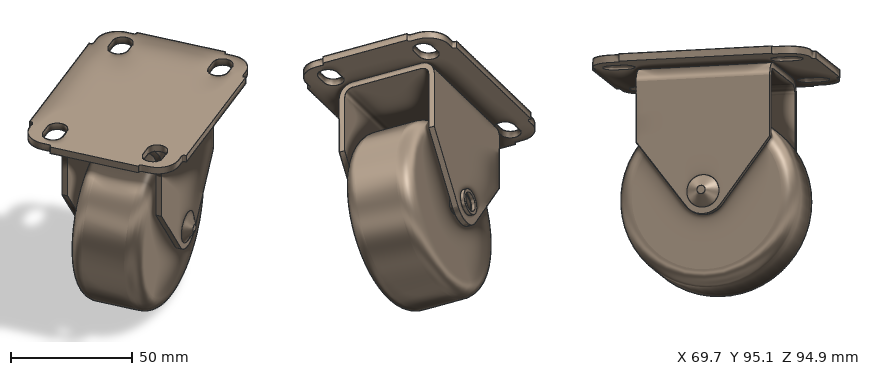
import cadquery as cq
import math


wheel_radius = 38.0
wheel_width = 31.7
wheel_edge_radius = 6.3

plate_length = 95.1
plate_width = 69.7
plate_thickness = 3.1
plate_top = 56.9
plate_bottom = plate_top - plate_thickness
corner_inset_x = 1.6
corner_inset_y = 1.4
corner_radius = 9.5
step_radius = 0.95
end_edge_half = 19.7
side_edge_half = 32.5
slot_length = 13.3
slot_width = 8.7
slot_spacing_x = 44.5
slot_spacing_y = 71.5

fork_width = 44.4
fork_depth = 56.9
fork_sheet = 2.6
fork_bend_radius = 6.3
fork_tip_radius = 9.5
fork_straight_height = 31.9
fork_half_width = fork_width / 2

axle_diameter = 6.75
head_base_diameter = 13.7
head_tip_diameter = 3.5
head_height = 3.0
collar_outer_diameter = 11.1
collar_inner_diameter = 8.2
collar_thickness = 1.7


def x_cylinder(diameter, start, length):
    """Cylinder on the axle line, from X = start toward +X."""
    return cq.Workplane("YZ", origin=(start, 0, 0)).circle(diameter / 2).extrude(length)


def corner_notch(sign_x, sign_y):
    """Material removed around one plate corner to leave an inset, rounded corner."""
    inset_x = plate_width / 2 - corner_inset_x
    inset_y = plate_length / 2 - corner_inset_y
    bend = corner_radius * (1 - math.sqrt(0.5))
    step_bend = step_radius * (1 - math.sqrt(0.5))

    def at(x, y):
        return (sign_x * x, sign_y * y)

    return (
        cq.Workplane("XY", origin=(0, 0, plate_bottom))
        .moveTo(*at(end_edge_half, plate_length / 2))
        .lineTo(*at(end_edge_half, inset_y + step_radius))
        .threePointArc(
            at(end_edge_half + step_bend, inset_y + step_bend),
            at(end_edge_half + step_radius, inset_y),
        )
        .lineTo(*at(inset_x - corner_radius, inset_y))
        .threePointArc(at(inset_x - bend, inset_y - bend), at(inset_x, inset_y - corner_radius))
        .lineTo(*at(inset_x, side_edge_half + step_radius))
        .threePointArc(
            at(inset_x + step_bend, side_edge_half + step_bend),
            at(inset_x + step_radius, side_edge_half),
        )
        .lineTo(*at(plate_width / 2, side_edge_half))
        .lineTo(*at(plate_width / 2, plate_length / 2))
        .close()
        .extrude(plate_thickness)
    )


def make_plate():
    """Mounting plate with four inset corners and four slotted holes."""
    plate = (
        cq.Workplane("XY", origin=(0, 0, plate_bottom))
        .rect(plate_width, plate_length)
        .extrude(plate_thickness)
    )
    for sign_x in (-1, 1):
        for sign_y in (-1, 1):
            plate = plate.cut(corner_notch(sign_x, sign_y))
    slots = (
        cq.Workplane("XY", origin=(0, 0, plate_bottom))
        .rarray(slot_spacing_x, slot_spacing_y, 2, 2)
        .slot2D(slot_length, slot_width, 90)
        .extrude(plate_thickness)
    )
    return plate.cut(slots)


def bent_profile(width, top, bend_radius):
    """Block from the fork tip up to top, with its upper X edges rounded."""
    height = top + fork_tip_radius
    return (
        cq.Workplane("XY", origin=(0, 0, -fork_tip_radius))
        .rect(width, fork_depth)
        .extrude(height)
        .edges("|Y and >Z")
        .fillet(bend_radius)
    )


def make_fork():
    """Bent sheet fork whose legs taper to a round tip about the axle."""
    outer = bent_profile(fork_width, plate_bottom, fork_bend_radius)
    inner = bent_profile(
        fork_width - 2 * fork_sheet, plate_bottom - fork_sheet, fork_bend_radius - fork_sheet
    )

    half_depth = fork_depth / 2
    shoulder_z = plate_bottom - fork_straight_height
    shoulder_distance = math.hypot(half_depth, shoulder_z)
    tangent_angle = math.atan2(shoulder_z, half_depth) - math.acos(fork_tip_radius / shoulder_distance)
    tangent_y = fork_tip_radius * math.cos(tangent_angle)
    tangent_z = fork_tip_radius * math.sin(tangent_angle)
    side_outline = (
        cq.Workplane("YZ", origin=(-fork_half_width, 0, 0))
        .moveTo(-half_depth, plate_bottom)
        .lineTo(half_depth, plate_bottom)
        .lineTo(half_depth, shoulder_z)
        .lineTo(tangent_y, tangent_z)
        .threePointArc((0, -fork_tip_radius), (-tangent_y, tangent_z))
        .lineTo(-half_depth, shoulder_z)
        .close()
        .extrude(fork_width)
    )
    axle_holes = x_cylinder(axle_diameter, -fork_half_width, fork_width)
    return outer.cut(inner).intersect(side_outline).cut(axle_holes)


def make_wheel():
    """Solid wheel with rounded rims and an axle bore."""
    wheel = x_cylinder(2 * wheel_radius, -wheel_width / 2, wheel_width)
    wheel = wheel.edges().fillet(wheel_edge_radius)
    return wheel.cut(x_cylinder(axle_diameter, -wheel_width / 2, wheel_width))


def make_axle():
    """Axle flush with the -X fork leg, with a conical head outside the +X leg."""
    shaft = x_cylinder(axle_diameter, -fork_half_width, fork_width)
    head = (
        cq.Workplane("YZ", origin=(fork_half_width, 0, 0))
        .circle(head_base_diameter / 2)
        .workplane(offset=head_height)
        .circle(head_tip_diameter / 2)
        .loft(ruled=True)
    )
    return shaft.union(head)


def make_collar():
    """Ring around the axle end on the outside of the -X fork leg."""
    start = -fork_half_width - collar_thickness
    collar = x_cylinder(collar_outer_diameter, start, collar_thickness)
    return collar.cut(x_cylinder(collar_inner_diameter, start, collar_thickness))


plate = make_plate()
fork = make_fork()
wheel = make_wheel()
axle = make_axle()
collar = make_collar()

bodies = [plate, fork, wheel, axle, collar]
result = cq.Compound.makeCompound([body.solids().val() for body in bodies])